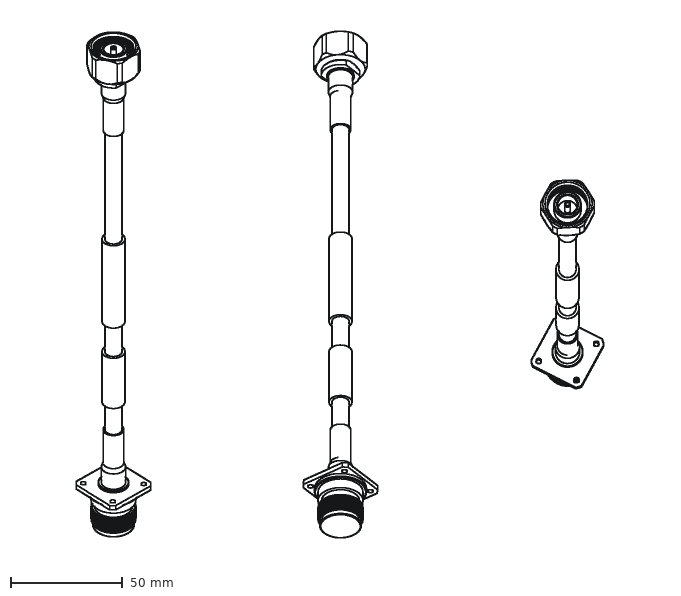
import cadquery as cq
import math


TOTAL_LENGTH = 265.4

CABLE_RADIUS = 3.85
SLEEVE_RADIUS = 5.17
SLEEVE_SPANS = [(113.0, 158.7), (68.5, 96.3)]

FERRULE_RADIUS = 4.65
FERRULE_LENGTH = 18.3
BARREL_RADIUS = 5.45
BARREL_LENGTH = 11.0
BARREL_CHAMFER_LENGTH = 2.5

THREAD_PITCH = 0.8
THREAD_DEPTH = 0.5

NUT_ACROSS_FLATS = 22.0
NUT_CORNER_RADIUS = 12.07
NUT_LENGTH = 13.0
NUT_TOP_BEVEL = 0.8
NUT_BOTTOM_BEVEL = 1.5
NUT_BORE_RADIUS = 9.0
NUT_BORE_DEPTH = 9.5
NUT_MOUTH_CHAMFER = 1.0
NUT_THREAD_TURNS = 9

HEAD_RADIUS = 8.62
HEAD_ACROSS_FLATS = 14.0
HEAD_LENGTH = 3.7
HEAD_CHAMFER = 1.3
COLLAR_LENGTH = 0.5
COLLAR_RADIUS = 6.0
TUBE_OUTER_RADIUS = 6.0
TUBE_INNER_RADIUS = 4.38
TUBE_RIM_CHAMFER = 0.4
TUBE_RECESS = 1.0
TUBE_DEPTH = 9.0
PIN_RADIUS = 1.3
PIN_RECESS = 0.3
PIN_TIP_CHAMFER = 0.5

FLANGE_SIDE = 25.5
FLANGE_CORNER_RADIUS = 16.7
FLANGE_BOTTOM = 20.7
FLANGE_TOP = 23.0
FLANGE_HOLE_OFFSET = 9.5
FLANGE_HOLE_RADIUS = 1.2
BOSS_RADIUS = 7.0
BOSS_TOP = 24.0
BOSS_CHAMFER = 0.3
STEP_RADIUS = 11.7
STEP_BOTTOM = 18.8
STEP_CHAMFER = 0.4
SHOULDER_RADIUS = 10.0
SHOULDER_BOTTOM = 14.0
NECK_RADIUS = 8.5
THREAD_RADIUS = 10.0
THREAD_BOTTOM = 3.5
THREAD_TURNS = 9
RIM_RADIUS = 9.3
RIM_TOP = 2.5
RIM_CHAMFER = 0.4

NUT_BOTTOM = TOTAL_LENGTH - NUT_LENGTH
HEAD_BOTTOM = NUT_BOTTOM - HEAD_LENGTH
COLLAR_BOTTOM = HEAD_BOTTOM - COLLAR_LENGTH
UPPER_BARREL_END = COLLAR_BOTTOM - BARREL_LENGTH
LOWER_BARREL_END = BOSS_TOP + BARREL_LENGTH


def cylinder(radius, bottom, top):
    return cq.Workplane("XY").workplane(offset=bottom).circle(radius).extrude(top - bottom)


def turned(points):
    """Solid of revolution about Z from (radius, height) points."""
    return cq.Workplane("XZ").polyline(points).close().revolve(360, (0, 0), (0, 1))


def hexagon(across_flats, bottom, top):
    """Hexagonal prism with two corners on the Y axis."""
    corner_diameter = across_flats / math.cos(math.pi / 6)
    return (
        cq.Workplane("XY")
        .workplane(offset=bottom)
        .transformed(rotate=(0, 0, 90))
        .polygon(6, corner_diameter)
        .extrude(top - bottom)
    )


def thread_points(inner_radius, bottom, turns):
    """Zigzag of V ridges, as (radius, height) points from bottom upwards."""
    points = [(inner_radius, bottom)]
    for turn in range(turns):
        start = bottom + turn * THREAD_PITCH
        points.append((inner_radius + THREAD_DEPTH, start + THREAD_PITCH / 2))
        points.append((inner_radius, start + THREAD_PITCH))
    return points


def cable_tail(base, direction):
    """Barrel and ferrule from height base, pointing up (1) or down (-1), with a socket for the cable."""
    barrel_end = base + direction * BARREL_LENGTH
    chamfer_start = barrel_end - direction * BARREL_CHAMFER_LENGTH
    ferrule_end = barrel_end + direction * FERRULE_LENGTH
    return turned([
        (0, base),
        (BARREL_RADIUS, base),
        (BARREL_RADIUS, chamfer_start),
        (FERRULE_RADIUS, barrel_end),
        (FERRULE_RADIUS, ferrule_end),
        (CABLE_RADIUS, ferrule_end),
        (CABLE_RADIUS, barrel_end),
        (0, barrel_end),
    ])


def make_cable():
    return cylinder(CABLE_RADIUS, LOWER_BARREL_END, UPPER_BARREL_END)


def make_sleeve(bottom, top):
    return cylinder(SLEEVE_RADIUS, bottom, top).cut(cylinder(CABLE_RADIUS, bottom, top))


def make_nut():
    flat_radius = NUT_ACROSS_FLATS / 2
    corner_trim = turned([
        (0, NUT_BOTTOM),
        (flat_radius, NUT_BOTTOM),
        (NUT_CORNER_RADIUS, NUT_BOTTOM + NUT_BOTTOM_BEVEL),
        (NUT_CORNER_RADIUS, TOTAL_LENGTH - NUT_TOP_BEVEL),
        (flat_radius, TOTAL_LENGTH),
        (0, TOTAL_LENGTH),
    ])
    floor = TOTAL_LENGTH - NUT_BORE_DEPTH
    thread_bottom = TOTAL_LENGTH - NUT_MOUTH_CHAMFER - NUT_THREAD_TURNS * THREAD_PITCH
    bore = turned([
        (0, floor),
        (NUT_BORE_RADIUS, floor),
        *thread_points(NUT_BORE_RADIUS, thread_bottom, NUT_THREAD_TURNS),
        (NUT_BORE_RADIUS + NUT_MOUTH_CHAMFER, TOTAL_LENGTH),
        (0, TOTAL_LENGTH),
    ])
    tube_hole = cylinder(TUBE_OUTER_RADIUS, NUT_BOTTOM, floor)
    blank = hexagon(NUT_ACROSS_FLATS, NUT_BOTTOM, TOTAL_LENGTH)
    return blank.intersect(corner_trim).cut(bore).cut(tube_hole)


def make_head():
    """Round head under the nut with two wrench flats facing -X and +X."""
    head = cylinder(HEAD_RADIUS, HEAD_BOTTOM, NUT_BOTTOM)
    head = head.faces(">Z").chamfer(HEAD_CHAMFER)
    flats = (
        cq.Workplane("XY")
        .workplane(offset=HEAD_BOTTOM)
        .rect(HEAD_ACROSS_FLATS, 2 * HEAD_RADIUS)
        .extrude(HEAD_LENGTH)
    )
    return head.intersect(flats)


def make_nut_connector():
    tube_top = TOTAL_LENGTH - TUBE_RECESS
    tube_floor = tube_top - TUBE_DEPTH
    tube = cylinder(TUBE_OUTER_RADIUS, NUT_BOTTOM, tube_top)
    tube = tube.cut(cylinder(TUBE_INNER_RADIUS, tube_floor, tube_top))
    tube = tube.faces(">Z").edges().chamfer(TUBE_RIM_CHAMFER)
    pin = cylinder(PIN_RADIUS, tube_floor, TOTAL_LENGTH - PIN_RECESS)
    pin = pin.faces(">Z").chamfer(PIN_TIP_CHAMFER)
    collar = cylinder(COLLAR_RADIUS, COLLAR_BOTTOM, HEAD_BOTTOM)
    return make_head().union(collar).union(cable_tail(COLLAR_BOTTOM, -1)).union(tube).union(pin)


def make_flange():
    """Square flange with corners turned about Z, four holes, a round step below and a low boss above."""
    plate = (
        cq.Workplane("XY")
        .workplane(offset=FLANGE_BOTTOM)
        .rect(FLANGE_SIDE, FLANGE_SIDE)
        .extrude(FLANGE_TOP - FLANGE_BOTTOM)
        .intersect(cylinder(FLANGE_CORNER_RADIUS, FLANGE_BOTTOM, FLANGE_TOP))
    )
    step = cylinder(STEP_RADIUS, STEP_BOTTOM, FLANGE_BOTTOM).faces("<Z").chamfer(STEP_CHAMFER)
    holes = (
        cq.Workplane("XY")
        .workplane(offset=FLANGE_BOTTOM)
        .rect(2 * FLANGE_HOLE_OFFSET, 2 * FLANGE_HOLE_OFFSET, forConstruction=True)
        .vertices()
        .circle(FLANGE_HOLE_RADIUS)
        .extrude(FLANGE_TOP - FLANGE_BOTTOM)
    )
    boss = cylinder(BOSS_RADIUS, FLANGE_TOP, BOSS_TOP).faces(">Z").chamfer(BOSS_CHAMFER)
    return plate.cut(holes).union(step).union(boss)


def make_coupling_end():
    """Shoulder, threaded band and rim below the flange; the thread is a stack of ring ridges."""
    thread_root = THREAD_RADIUS - THREAD_DEPTH
    thread_top = THREAD_BOTTOM + THREAD_TURNS * THREAD_PITCH
    return turned([
        (0, 0),
        (RIM_RADIUS - RIM_CHAMFER, 0),
        (RIM_RADIUS, RIM_CHAMFER),
        (RIM_RADIUS, RIM_TOP),
        (NECK_RADIUS, RIM_TOP),
        (NECK_RADIUS, THREAD_BOTTOM),
        *thread_points(thread_root, THREAD_BOTTOM, THREAD_TURNS),
        (NECK_RADIUS, thread_top),
        (NECK_RADIUS, SHOULDER_BOTTOM),
        (SHOULDER_RADIUS, SHOULDER_BOTTOM),
        (SHOULDER_RADIUS, STEP_BOTTOM),
        (0, STEP_BOTTOM),
    ])


def make_flange_connector():
    return make_coupling_end().union(make_flange()).union(cable_tail(BOSS_TOP, 1))


cable = make_cable()
sleeves = [make_sleeve(bottom, top) for bottom, top in SLEEVE_SPANS]
nut = make_nut()
nut_connector = make_nut_connector()
flange_connector = make_flange_connector()

result = cq.Compound.makeCompound([
    cable.val(),
    *[sleeve.val() for sleeve in sleeves],
    nut.val(),
    nut_connector.val(),
    flange_connector.val(),
])